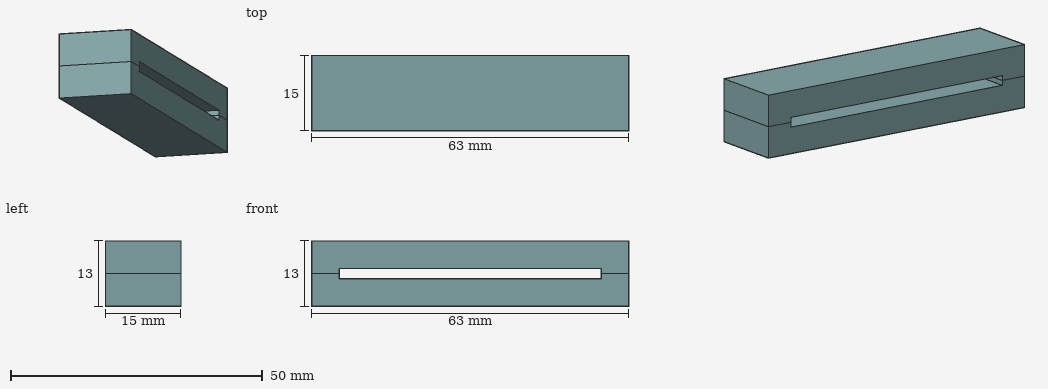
import cadquery as cq

length = 63.0
width = 15.0
height = 13.0
half_height = height / 2

slot_length = 52.0
slot_height = 2.0
recess_depth = slot_height / 2


def make_lower_half():
    """Plain half block with a shallow channel cut into its mating face at Z = 0."""
    block = cq.Workplane("XY").box(length, width, half_height, centered=(True, True, False))
    block = block.translate((0, 0, -half_height))
    channel = cq.Workplane("XY").box(slot_length, width, recess_depth, centered=(True, True, False))
    return block.cut(channel.translate((0, 0, -recess_depth)))


lower_half = make_lower_half()
upper_half = make_lower_half().mirror("XY")

result = cq.Compound.makeCompound([lower_half.val(), upper_half.val()])